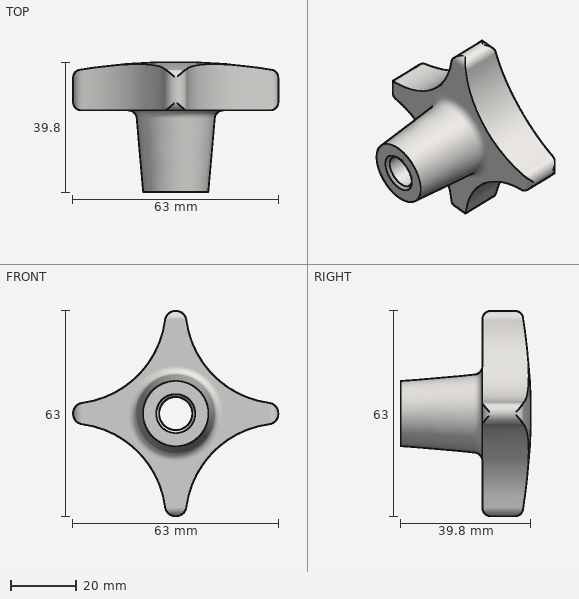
import cadquery as cq
import math

span = 63.0
tip_radius = 3.35
scallop_center = 32.3
head_height = 14.9
edge_height = 12.6
edge_round = 2.65

hub_length = 25.0
hub_end_radius = 10.0
hub_taper = math.radians(5)
root_fillet = 2.5

bore_radius = 5.05
bore_chamfer = 0.95

half_span = span / 2
tip_center = half_span - tip_radius
scallop_radius = math.hypot(scallop_center - tip_center, scallop_center) - tip_radius
rim_reach = half_span - edge_round



def star_outline():
    """Four-armed outline extruded along +Y from the underside."""
    reach = tip_radius / (scallop_radius + tip_radius)
    tangent_x = tip_center + (scallop_center - tip_center) * reach
    tangent_z = scallop_center * reach
    scallop_mid = scallop_center - scallop_radius / math.sqrt(2)

    def turned(point, quarter):
        x, z = point
        for _ in range(quarter):
            x, z = -z, x
        return x, z

    outline = cq.Workplane("XZ").moveTo(tangent_x, -tangent_z)
    for quarter in range(4):
        tip = turned((half_span, 0), quarter)
        tip_end = turned((tangent_x, tangent_z), quarter)
        hollow = turned((scallop_mid, scallop_mid), quarter)
        next_tip = turned((tangent_z, tangent_x), quarter)
        outline = outline.threePointArc(tip, tip_end).threePointArc(hollow, next_tip)
    return outline.close().extrude(-head_height)


def end_rounding():
    """Block along Z whose ends in X are rounded above and below.

    Between the ends it stands up to the apex height, leaving room for the dome.
    """
    bar = cq.Workplane("XY").box(span, edge_height, span).edges("|Z").fillet(edge_round)
    middle = cq.Workplane("XY").box(2 * rim_reach, head_height, span)
    bar = bar.translate((0, edge_height / 2, 0))
    return bar.union(middle.translate((0, head_height / 2, 0)))


def dome():
    """Ball whose cap falls to the edge height where the end rounding starts."""
    rise = head_height - edge_height
    radius = (rim_reach**2 + rise**2) / (2 * rise)
    return cq.Workplane("XY").sphere(radius).translate((0, head_height - radius, 0))


def head():
    """Star with a domed top and all four arm ends rounded."""
    rounding_x = end_rounding()
    rounding_z = rounding_x.rotate((0, 0, 0), (0, 1, 0), 90)
    return star_outline().intersect(rounding_x).intersect(rounding_z).intersect(dome())


def hub():
    """Tapered hub with a tangent concave fillet up to the underside."""
    fillet_depth = root_fillet * (1 - math.sin(hub_taper))
    neck_radius = hub_end_radius + (hub_length - fillet_depth) * math.tan(hub_taper)
    fillet_center = neck_radius + root_fillet * math.cos(hub_taper)
    mid_angle = (math.pi / 2 + hub_taper) / 2
    fillet_mid = (
        fillet_center - root_fillet * math.cos(mid_angle),
        root_fillet * (math.sin(mid_angle) - 1),
    )
    return (
        cq.Workplane("XY")
        .moveTo(0, -hub_length)
        .lineTo(hub_end_radius, -hub_length)
        .lineTo(neck_radius, -fillet_depth)
        .threePointArc(fillet_mid, (fillet_center, 0))
        .lineTo(0, 0)
        .close()
        .revolve(360, (0, 0), (0, 1))
    )


def bore():
    """Through hole, chamfered at the hub end."""
    mouth_radius = bore_radius + bore_chamfer
    return (
        cq.Workplane("XY")
        .moveTo(0, -hub_length)
        .lineTo(mouth_radius, -hub_length)
        .lineTo(bore_radius, bore_chamfer - hub_length)
        .lineTo(bore_radius, head_height)
        .lineTo(0, head_height)
        .close()
        .revolve(360, (0, 0), (0, 1))
    )


result = head().union(hub()).cut(bore())